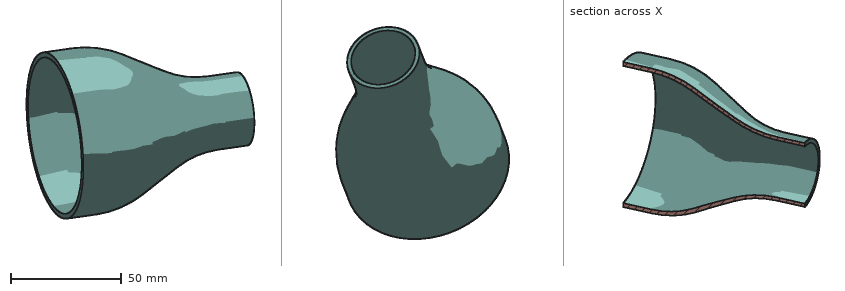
import cadquery as cq
import math

length = 90.0
large_outer_diameter = 76.1
large_inner_diameter = 71.5
small_outer_diameter = 33.7
small_inner_diameter = 29.7

collar_length = 13.95

outer_bend_radius = 45.0
large_wall = (large_outer_diameter - large_inner_diameter) / 2
small_wall = (small_outer_diameter - small_inner_diameter) / 2
bore_convex_bend_radius = outer_bend_radius - large_wall
bore_concave_bend_radius = outer_bend_radius + small_wall


def cone_angle(radius_drop, bend_radius_sum):
    """Half angle of the cone that is tangent to both bends."""
    run = length - 2 * collar_length
    offset = bend_radius_sum - radius_drop
    return math.atan2(run, offset) - math.acos(bend_radius_sum / math.hypot(run, offset))


def reducer_solid(large_diameter, small_diameter, convex_radius, concave_radius):
    """Solid made of a collar, a convex bend, a cone, a concave bend and a collar."""
    large_radius = large_diameter / 2
    small_radius = small_diameter / 2
    bend_angle = cone_angle(large_radius - small_radius, convex_radius + concave_radius)

    def convex_point(angle):
        radius = large_radius - convex_radius * (1 - math.cos(angle))
        return (radius, collar_length + convex_radius * math.sin(angle))

    def concave_point(angle):
        radius = small_radius + concave_radius * (1 - math.cos(angle))
        return (radius, length - collar_length - concave_radius * math.sin(angle))

    return (
        cq.Workplane("XY")
        .lineTo(large_radius, 0)
        .lineTo(large_radius, collar_length)
        .threePointArc(convex_point(bend_angle / 2), convex_point(bend_angle))
        .lineTo(*concave_point(bend_angle))
        .threePointArc(concave_point(bend_angle / 2), concave_point(0))
        .lineTo(small_radius, length)
        .lineTo(0, length)
        .close()
        .revolve(360, (0, 0, 0), (0, 1, 0))
    )


outer_body = reducer_solid(
    large_outer_diameter, small_outer_diameter, outer_bend_radius, outer_bend_radius
)
bore = reducer_solid(
    large_inner_diameter, small_inner_diameter, bore_convex_bend_radius, bore_concave_bend_radius
)

result = outer_body.cut(bore)